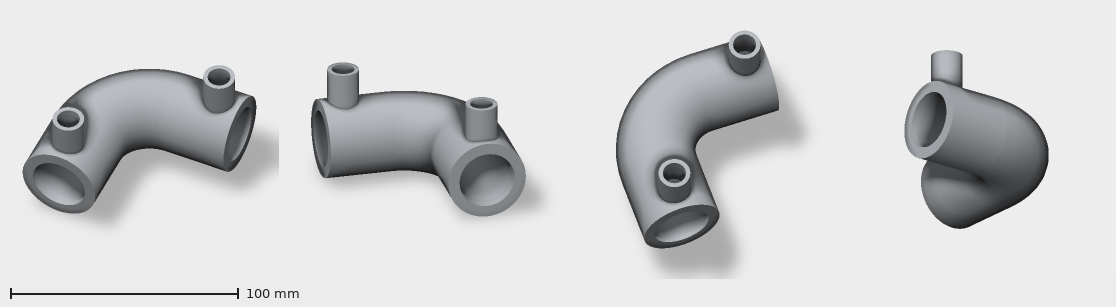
import cadquery as cq

overall = 77.5
pipe_outer_radius = 17.5
pipe_bore_radius = 12.5
leg_length = 30.0
bend_radius = overall - leg_length - pipe_outer_radius

branch_outer_radius = 7.0
branch_bore_radius = 5.0
branch_end_distance = 10.0
overall_height = 50.0
branch_top = overall_height - pipe_outer_radius

end_distance = bend_radius + leg_length
branch_distance = end_distance - branch_end_distance
branch_centers = [(0, -branch_distance), (branch_distance, 0)]


def bent_rod(radius):
    """Solid rod of the given radius following the pipe axis."""
    y_leg = cq.Workplane("XZ", origin=(0, -bend_radius, 0)).circle(radius).extrude(leg_length)
    x_leg = cq.Workplane("YZ", origin=(bend_radius, 0, 0)).circle(radius).extrude(leg_length)
    bend = (
        cq.Workplane("XZ", origin=(0, -bend_radius, 0))
        .circle(radius)
        .revolve(90, (bend_radius, 0), (bend_radius, -1))
    )
    return y_leg.union(bend).union(x_leg)


def upright_rods(radius):
    """Vertical rods from the pipe axis to the branch tops."""
    return cq.Workplane("XY").pushPoints(branch_centers).circle(radius).extrude(branch_top)


branches = upright_rods(branch_outer_radius).cut(upright_rods(branch_bore_radius))
pipe = bent_rod(pipe_outer_radius)
result = pipe.union(branches).cut(bent_rod(pipe_bore_radius))